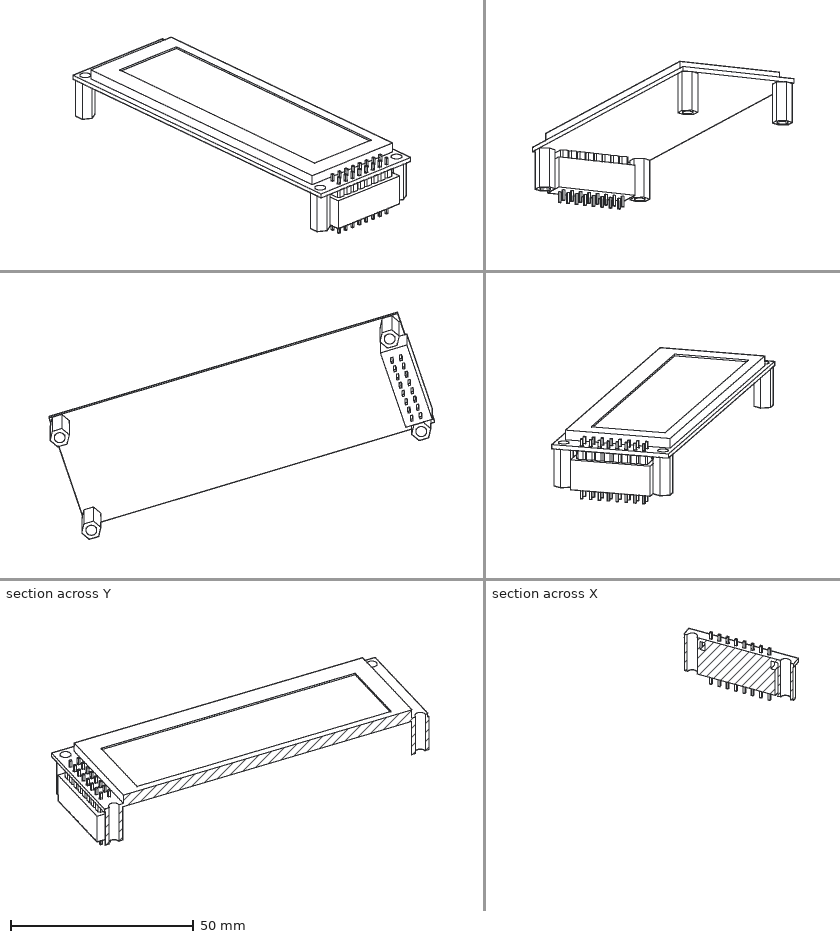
import cadquery as cq
import math

BOARD_LENGTH = 100.4
BOARD_WIDTH = 33.5
BOARD_THICKNESS = 1.2

FRAME_LENGTH = 89.5
FRAME_WIDTH = 30.0
FRAME_HEIGHT = 2.7
FRAME_X = 5.0
FRAME_Y = 2.1
WINDOW_LENGTH = 78.9
WINDOW_WIDTH = 21.2
WINDOW_X = 10.4
WINDOW_Y = 7.9
WINDOW_DEPTH = 0.5

HEX_SIDES = 6
STANDOFF_FLATS = 4.8
STANDOFF_LENGTH = 11.0
STANDOFF_BORE = 3.0
STANDOFF_X = 2.3
STANDOFF_SPACING = 95.0
STANDOFF_EDGE_GAP = 0.1

PITCH = 2.5
PIN_ROWS = 2
PINS_PER_ROW = 8
PIN_SIZE = 0.6
PIN_HOLE = 0.9
PIN_ABOVE_BOARD = 1.8
PIN_BELOW_SOCKET = 3.0
HEADER_HEIGHT = 2.4
NOTCH_DEPTH = 0.5
SOCKET_OVERHANG = 0.9
CONNECTOR_OFFSET_Y = 0.3
SOCKET_LENGTH = (PINS_PER_ROW + 1) * PITCH
SOCKET_WIDTH = (PIN_ROWS + 1) * PITCH
CONNECTOR_X = BOARD_LENGTH + SOCKET_OVERHANG - SOCKET_WIDTH / 2
CONNECTOR_Y = BOARD_WIDTH / 2 + CONNECTOR_OFFSET_Y


def box(x, y, z, length, width, height):
    """Box with its low corner at (x, y, z)."""
    return cq.Workplane("XY").box(length, width, height, centered=False).translate((x, y, z))


def at_connector(z):
    """Horizontal workplane at height z, centred on the pins."""
    return cq.Workplane("XY", origin=(CONNECTOR_X, CONNECTOR_Y, z))


def make_frame():
    frame = box(FRAME_X, FRAME_Y, BOARD_THICKNESS, FRAME_LENGTH, FRAME_WIDTH, FRAME_HEIGHT)
    window_floor = BOARD_THICKNESS + FRAME_HEIGHT - WINDOW_DEPTH
    return frame.cut(box(WINDOW_X, WINDOW_Y, window_floor, WINDOW_LENGTH, WINDOW_WIDTH, WINDOW_DEPTH))


def make_standoffs(centres):
    corner_diameter = STANDOFF_FLATS / math.cos(math.pi / HEX_SIDES)
    standoffs = cq.Workplane("XY").pushPoints(centres).polygon(HEX_SIDES, corner_diameter)
    return standoffs.extrude(-STANDOFF_LENGTH)


def make_bores(centres):
    """Holes straight through the standoffs and the board."""
    bores = cq.Workplane("XY", origin=(0, 0, -STANDOFF_LENGTH)).pushPoints(centres)
    return bores.circle(STANDOFF_BORE / 2).extrude(STANDOFF_LENGTH + BOARD_THICKNESS)


def make_header():
    """Strip between board and socket, notched on both sides between the pins."""
    strip_width = PIN_ROWS * PITCH
    strip = at_connector(-HEADER_HEIGHT).rect(strip_width, PINS_PER_ROW * PITCH).extrude(HEADER_HEIGHT)
    notches = at_connector(-HEADER_HEIGHT).rarray(strip_width, PITCH, 2, PINS_PER_ROW + 1)
    return strip.cut(notches.polygon(4, 2 * NOTCH_DEPTH).extrude(HEADER_HEIGHT))


def make_socket():
    socket = at_connector(-STANDOFF_LENGTH).rect(SOCKET_WIDTH, SOCKET_LENGTH)
    return socket.extrude(STANDOFF_LENGTH - HEADER_HEIGHT)


def make_pins():
    pin_bottom = -STANDOFF_LENGTH - PIN_BELOW_SOCKET
    pin_top = BOARD_THICKNESS + PIN_ABOVE_BOARD
    pins = at_connector(pin_bottom).rarray(PITCH, PITCH, PIN_ROWS, PINS_PER_ROW)
    return pins.rect(PIN_SIZE, PIN_SIZE).extrude(pin_top - pin_bottom)


def make_pin_holes():
    holes = at_connector(0).rarray(PITCH, PITCH, PIN_ROWS, PINS_PER_ROW)
    return holes.circle(PIN_HOLE / 2).extrude(BOARD_THICKNESS)


standoff_y = STANDOFF_EDGE_GAP + STANDOFF_FLATS / 2
standoff_centres = [
    (x, y)
    for x in (STANDOFF_X, STANDOFF_X + STANDOFF_SPACING)
    for y in (standoff_y, BOARD_WIDTH - standoff_y)
]
board = box(0, 0, 0, BOARD_LENGTH, BOARD_WIDTH, BOARD_THICKNESS).cut(make_pin_holes())
result = (
    board.union(make_frame())
    .union(make_standoffs(standoff_centres))
    .cut(make_bores(standoff_centres))
    .union(make_header())
    .union(make_socket())
    .union(make_pins())
)